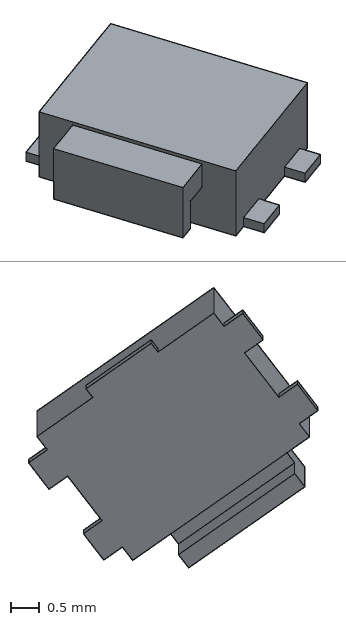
import cadquery as cq

overall_length = 4.6
body_length = 3.8
body_depth = 2.8
body_height = 1.42

pin_width = 0.6
pin_pitch = 1.6
lead_thickness = 0.2
tab_width = 1.4
tab_reach = 0.2

button_width = 2.5
button_reach = 0.75
button_height = 1.1
button_top_gap = 0.07
button_arm_thickness = 0.5
button_lip_thickness = 0.3

front_y = -body_depth / 2
rear_y = body_depth / 2


def make_body():
    return cq.Workplane("XY").box(body_length, body_depth, body_height, centered=(True, True, False))


def make_pin_bar(y):
    """Bar through the body whose two ends form a pair of opposite pins."""
    bar = cq.Workplane("XY").box(overall_length, pin_width, lead_thickness, centered=(True, True, False))
    return bar.translate((0, y, 0))


def make_rear_tab():
    tab = cq.Workplane("XY").box(tab_width, tab_reach, lead_thickness, centered=(True, False, False))
    return tab.translate((0, rear_y, 0))


def make_button():
    """Horizontal arm with a lip hanging down at its outer end."""
    top_z = body_height - button_top_gap
    arm_bottom_z = top_z - button_arm_thickness
    lip_bottom_z = top_z - button_height
    outer_y = front_y - button_reach
    lip_inner_y = outer_y + button_lip_thickness
    profile = [
        (front_y, top_z),
        (outer_y, top_z),
        (outer_y, lip_bottom_z),
        (lip_inner_y, lip_bottom_z),
        (lip_inner_y, arm_bottom_z),
        (front_y, arm_bottom_z),
    ]
    return cq.Workplane("YZ").polyline(profile).close().extrude(button_width / 2, both=True)


result = make_body().union(make_rear_tab()).union(make_button())
for pin_y in (-pin_pitch / 2, pin_pitch / 2):
    result = result.union(make_pin_bar(pin_y))